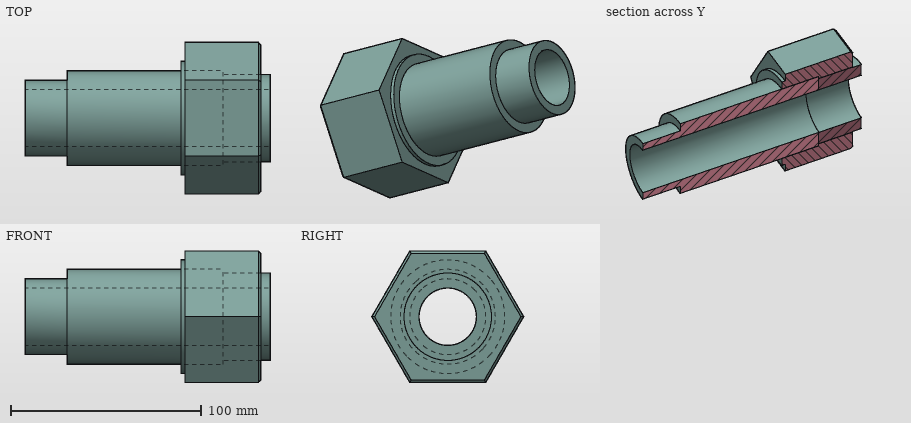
import cadquery as cq

total_length = 129
spigot_length = 22.0
collar_start = 81.9
hex_start = 84.0
hex_end = 124.0
joint_x = (hex_start + hex_end) / 2

bore_diameter = 30.0
spigot_diameter = 40
barrel_diameter = 50.0
outlet_diameter = 46.0
collar_diameter = 60.0
hex_across_corners = 80
hex_chamfer = 1.3


def cylinder(diameter, start, end):
    """Solid cylinder about the X axis between two stations."""
    return cq.Workplane("YZ", origin=(start, 0, 0)).circle(diameter / 2).extrude(end - start)


def make_tailpiece():
    """Stepped tube: a narrow spigot followed by a barrel that enters the nut."""
    spigot = cylinder(spigot_diameter, 0, spigot_length)
    barrel = cylinder(barrel_diameter, spigot_length, joint_x)
    bore = cylinder(bore_diameter, 0, joint_x)
    return spigot.union(barrel).cut(bore)


def make_nut():
    """Hexagon with corners on Y, a round collar on its back and a stepped bore."""
    hexagon = (
        cq.Workplane("YZ", origin=(hex_start, 0, 0))
        .polygon(6, hex_across_corners)
        .extrude(hex_end - hex_start)
        .faces(">X")
        .chamfer(hex_chamfer)
    )
    collar = cylinder(collar_diameter, collar_start, hex_start)
    barrel_seat = cylinder(barrel_diameter, collar_start, joint_x)
    outlet_seat = cylinder(outlet_diameter, joint_x, hex_end)
    return hexagon.union(collar).cut(barrel_seat).cut(outlet_seat)


def make_outlet():
    """Plain tube that butts against the tailpiece and leaves the nut at its front."""
    tube = cylinder(outlet_diameter, joint_x, total_length)
    return tube.cut(cylinder(bore_diameter, joint_x, total_length))


tailpiece = make_tailpiece()
nut = make_nut()
outlet = make_outlet()

result = cq.Compound.makeCompound([tailpiece.val(), nut.val(), outlet.val()])